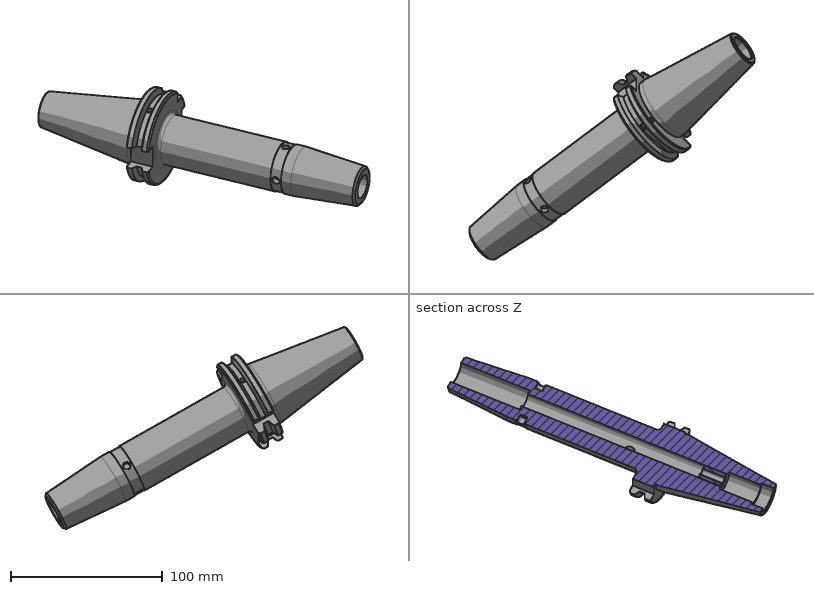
import cadquery as cq
import math


total_length = 228.5
shank_length = 68.4
gauge_radius = 22.22
taper_slope = 7 / 48
shank_end_radius = gauge_radius - taper_slope * shank_length
shank_chamfer = 0.7

flange_start = 71.7
flange_end = 87.5
flange_radius = 31.7
flange_front_chamfer = 0.7
flange_back_chamfer = 1.1
groove_middle = 79.5
groove_mouth_width = 7.3
groove_floor_width = 3.7
groove_floor_radius = 28.0

drive_slot_width = 16.0
deep_slot_floor = 23.0
shallow_slot_floor = 25.0
notch_side = 18.0
notch_floor = 18.5

flat_normal_angle = 15
flat_half_angle = 30

neck_radius = 17.0
neck_fillet = 2.7
band_start = 169.5
band_end = 177.0
band_radius = 16.5
nose_start = 183.9
nose_radius = 13.5
nose_chamfer = 1.4
balance_hole_radius = 2.5
balance_hole_depth = 5.0
balance_hole_count = 4

mouth_radius = 8.5
mouth_depth = 9.1
mouth_chamfer = 0.7
drawbar_radius = 7.0
drawbar_depth = 32.0
screw_radius = 5.0
drill_tip_length = 1.1
tool_bore_radius = 8.0
tool_bore_depth = 50.2
tool_bore_start = total_length - tool_bore_depth

stop_screw_length = 16.0
stop_screw_hole_radius = 2.17

coolant_angle = 20
coolant_pitch_radius = 27.2
coolant_radius = 1.8
coolant_slope = 38
coolant_lead = 2.3
cross_hole_radius = 1.71
cross_hole_depth = 6.9
plug_length = 2.7


def cylinder(radius, length, start, direction):
    return cq.Workplane(obj=cq.Solid.makeCylinder(radius, length, cq.Vector(*start), cq.Vector(*direction)))


def make_blank():
    outline = [
        (0, 0),
        (0, shank_end_radius - shank_chamfer),
        (shank_chamfer, shank_end_radius + taper_slope * shank_chamfer),
        (shank_length, gauge_radius),
        (flange_start, gauge_radius),
        (flange_start, flange_radius - flange_front_chamfer),
        (flange_start + flange_front_chamfer, flange_radius),
        (groove_middle - groove_mouth_width / 2, flange_radius),
        (groove_middle - groove_floor_width / 2, groove_floor_radius),
        (groove_middle + groove_floor_width / 2, groove_floor_radius),
        (groove_middle + groove_mouth_width / 2, flange_radius),
        (flange_end - flange_back_chamfer, flange_radius),
        (flange_end, flange_radius - flange_back_chamfer),
        (flange_end, neck_radius + neck_fillet),
    ]
    fillet_middle = (
        flange_end + neck_fillet * (1 - math.cos(math.pi / 4)),
        neck_radius + neck_fillet * (1 - math.sin(math.pi / 4)),
    )
    nose_slope = (neck_radius - nose_radius) / (total_length - nose_start)
    tool_end = [
        (band_start, neck_radius),
        (band_start, band_radius),
        (band_end, band_radius),
        (band_end, neck_radius),
        (nose_start, neck_radius),
        (total_length - nose_chamfer, nose_radius + nose_slope * nose_chamfer),
        (total_length, nose_radius - nose_chamfer),
        (total_length, 0),
    ]
    profile = cq.Workplane("XZ").polyline(outline)
    profile = profile.threePointArc(fillet_middle, (flange_end + neck_fillet, neck_radius))
    for point in tool_end:
        profile = profile.lineTo(*point)
    return profile.close().revolve(360, (0, 0, 0), (1, 0, 0))


def make_bores():
    outline = [
        (0, 0),
        (0, mouth_radius + mouth_chamfer),
        (mouth_chamfer, mouth_radius),
        (mouth_depth, mouth_radius),
        (mouth_depth, drawbar_radius),
        (drawbar_depth, drawbar_radius),
        (drawbar_depth + drill_tip_length, screw_radius),
        (tool_bore_start, screw_radius),
        (tool_bore_start, tool_bore_radius),
        (total_length, tool_bore_radius),
        (total_length, 0),
    ]
    return cq.Workplane("XZ").polyline(outline).close().revolve(360, (0, 0, 0), (1, 0, 0))


def flange_block(width, height, y, z, from_corner=False):
    """A block as long as the flange, reaching from y outwards; z is its middle unless from_corner."""
    block = cq.Workplane("XY").box(flange_end - flange_start, width, height, (False, False, not from_corner))
    return block.translate((flange_start, y, z))


def make_flange_cuts():
    shallow_slot = flange_block(flange_radius, drive_slot_width, shallow_slot_floor, 0)
    deep_slot = flange_block(flange_radius, drive_slot_width, -deep_slot_floor - flange_radius, 0)
    notch = flange_block(flange_radius, flange_radius, notch_side, notch_floor, from_corner=True)
    return [shallow_slot, deep_slot, notch]


def make_groove_flat():
    floor_distance = groove_floor_radius * math.cos(math.radians(flat_half_angle))
    chord = 2 * groove_floor_radius * math.sin(math.radians(flat_half_angle))
    height = groove_floor_radius - floor_distance
    block = (
        cq.Workplane("XY")
        .box(groove_floor_width, chord, height, (True, True, False))
        .translate((groove_middle, 0, -groove_floor_radius))
    )
    return block.rotate((0, 0, 0), (1, 0, 0), -flat_normal_angle)


def coolant_pair(body):
    """Place a body made for the +Z side at both coolant channels."""
    return [body.rotate((0, 0, 0), (1, 0, 0), coolant_angle + turn) for turn in (0, 180)]


def make_coolant_channels():
    slope = math.radians(coolant_slope)
    direction = (math.cos(slope), 0, -math.sin(slope))
    start = (flange_start - coolant_lead, 0, coolant_pitch_radius + coolant_lead * math.tan(slope))
    length = coolant_pitch_radius / math.sin(slope)
    return coolant_pair(cylinder(coolant_radius, length, start, direction))


def make_cross_holes():
    start = (groove_middle, 0, groove_floor_radius - cross_hole_depth)
    return coolant_pair(cylinder(cross_hole_radius, 2 * cross_hole_depth, start, (0, 0, 1)))


def make_plugs():
    start = (groove_middle, 0, groove_floor_radius - cross_hole_depth)
    return coolant_pair(cylinder(cross_hole_radius, plug_length, start, (0, 0, 1)))


def make_balance_holes():
    middle = (band_start + band_end) / 2
    start = (middle, 0, band_radius - balance_hole_depth)
    hole = cylinder(balance_hole_radius, 2 * balance_hole_depth, start, (0, 0, 1))
    step = 360 / balance_hole_count
    return [hole.rotate((0, 0, 0), (1, 0, 0), index * step) for index in range(balance_hole_count)]


def make_holder():
    holder = make_blank().cut(make_bores())
    cuts = make_flange_cuts() + make_coolant_channels() + make_cross_holes() + make_balance_holes()
    cuts.append(make_groove_flat())
    for cut in cuts:
        holder = holder.cut(cut)
    return holder


def make_stop_screw():
    start = drawbar_depth + drill_tip_length
    screw = cylinder(screw_radius, stop_screw_length, (start, 0, 0), (1, 0, 0))
    hole = cylinder(stop_screw_hole_radius, stop_screw_length, (start, 0, 0), (1, 0, 0))
    return screw.cut(hole)


holder = make_holder()
stop_screw = make_stop_screw()
plugs = make_plugs()

result = cq.Compound.makeCompound([holder.val(), stop_screw.val(), *[plug.val() for plug in plugs]])